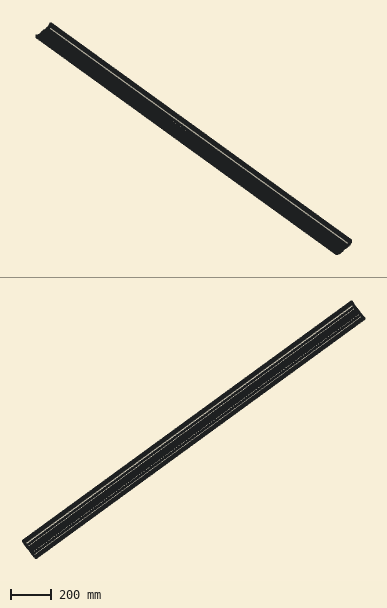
import cadquery as cq
import math

length = 2000.0
width = 105.0
height = 19.5
sheet = 2.0

channel_rise = 5.0
channel_top_half = 6.2
channel_foot_half = 11.5

shelf_rise = 2.0
shelf_start = 25.0

riser_foot = 40.0
riser_top = 45.0
riser_height = 9.8
riser_bend_radius = 5.0
web_angle = 20.0

flange_height = 11.5
flange_rounding = 1.8

half_width = width / 2
flange_inner = half_width - sheet
top = height / 2
bottom = -top
flange_bottom = top - flange_height
floor_top = bottom + sheet
shelf_top = floor_top + shelf_rise
channel_underside = bottom + channel_rise
riser_slope = riser_height / (riser_top - riser_foot)
web_start = bottom + riser_height
web_end = web_start + (flange_inner - riser_top) * math.tan(math.radians(web_angle))

riser_inset = sheet * math.hypot(1, 1 / riser_slope)
riser_upper_top = riser_top - riser_inset + sheet / riser_slope
riser_upper_foot = riser_upper_top - (web_start + sheet - shelf_top) / riser_slope


def half_section():
    """Closed outline of the +Y half, from the centre plane outwards and back."""
    upper = [
        (0, channel_underside + sheet),
        (channel_top_half, channel_underside + sheet),
        (channel_foot_half, floor_top),
        (shelf_start, floor_top),
        (shelf_start, shelf_top),
        (riser_upper_foot, shelf_top),
        (riser_upper_top, web_start + sheet),
        (flange_inner, web_end + sheet),
    ]
    flange = [
        (flange_inner, top),
        (half_width, top),
        (half_width, flange_bottom),
        (flange_inner, flange_bottom),
    ]
    lower = [
        (flange_inner, web_end),
        (riser_top, web_start),
        (riser_foot, bottom),
        (channel_foot_half, bottom),
        (channel_top_half, channel_underside),
        (0, channel_underside),
    ]
    return cq.Workplane("YZ").polyline(upper + flange + lower).close()


def edge_at(y, z):
    """Selector for the lengthwise edge through the given section point."""
    return cq.selectors.NearestToPointSelector((0, y, z))


half = half_section().extrude(length / 2, both=True)
for y, z in ((riser_foot, bottom), (riser_upper_foot, shelf_top)):
    half = half.edges(edge_at(y, z)).fillet(riser_bend_radius)
half = half.edges(edge_at(half_width, top)).fillet(flange_rounding)
half = half.edges(edge_at(half_width, flange_bottom)).fillet(flange_rounding)

result = half.union(half.mirror("XZ")).clean()